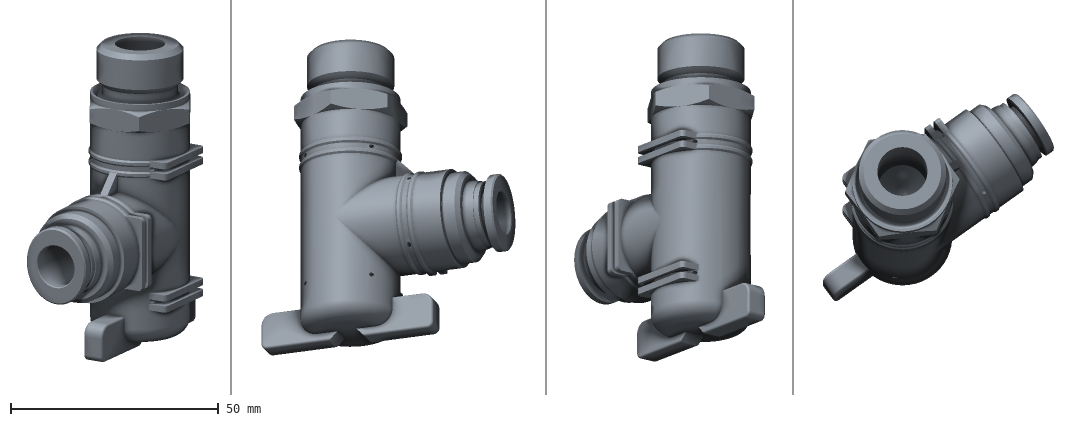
import cadquery as cq
import math


OVERALL_HEIGHT = 74.3

ARM_RADIUS = 12.0
SEAM_TURN = 90
BODY_BOTTOM = -26.1
BODY_BOTTOM_FILLET = 4.0
ARM_LENGTH = 27.3

HEX_TOP = 32.6
HEX_CHAMFER_HEIGHT = 1.0
COLLAR_TOP = 34.25
COLLAR_LIP_RADIUS = 11.4
COLLAR_RECESS = 1.1
NECK_RADIUS = 9.15
NECK_TOP = 36.2
THREAD_RADIUS = 10.51
STUD_TOP = 46.15
THREAD_TOP_CHAMFER = 1.2
STUD_BORE_RADIUS = 6.0
DRILL_POINT_ANGLE = 118.0

HOLDER_MIDDLE = 18.05
LOWER_HOLDER_MIDDLE = -15.0
RAIL_THICKNESS = 1.55
RAIL_GAP = 1.2
BAND_HEIGHT = 0.4
BAND_SLOPE = 0.45
TAB_REACH = 12.8
TAB_HALF_WIDTH = 9.1
TAB_CORNER = 1.2
TIE_HOLE_DIAMETER = 1.0
TIE_HOLE_OFFSET = ARM_RADIUS * math.sqrt(0.5)
TIE_HOLE_DEPTH = 1.5

WEB_THICKNESS = 2.0
WEB_LEG_SUM = 29.3

WING_HALF_SPAN = 22.0
WING_THICKNESS = 5.3
WING_TOP = -19.0
WING_BOTTOM = STUD_TOP - OVERALL_HEIGHT
WING_UPPER_CORNER = 3.0
WING_LOWER_CORNER = 1.5
WING_EDGE_FILLET = 0.6
WING_RELIEF = 2.45

GROOVE_RADIUS = 10.7
CARTRIDGE_START = 27.7
CARTRIDGE_RADIUS = 11.1
CARTRIDGE_END = 31.7
CARTRIDGE_CHAMFER = 1.05
NOSE_RADIUS = 8.55
NOSE_TAPER_START = 32.7
NOSE_TAPER_END = 34.3
NOSE_TAPER_RADIUS = 8.25
NOSE_TIP_RADIUS = 8.0
NOSE_END = 35.7
TUBE_STOP = 20.05

RING_START = 33.9
RING_NECK_RADIUS = 6.0
RING_BORE_RADIUS = 5.1
RING_BORE_CHAMFER = 0.2
FLANGE_START = 37.1
FLANGE_END = 39.3
FLANGE_HALF_WIDTH = 8.3
FLANGE_HALF_HEIGHT = 9.5
FLANGE_CHAMFER = 0.4


def upright_cylinder(radius, bottom, top):
    return cq.Workplane("XY").workplane(offset=bottom).circle(radius).extrude(top - bottom)


def revolved(points):
    """Turn a (radius, height) outline round the Z axis."""
    return cq.Workplane("XZ").polyline(points).close().revolve(360, (0, 0), (0, 1))


def to_branch(shape):
    """Turn a shape built along +Z so that it lies along -Y."""
    return shape.rotate((0, 0, 0), (1, 0, 0), 90)


def rail_bottoms(middle):
    return (middle - RAIL_GAP / 2 - RAIL_THICKNESS, middle + RAIL_GAP / 2)


def band(bottom):
    top = bottom + RAIL_THICKNESS
    crest = ARM_RADIUS + BAND_HEIGHT
    return revolved([(0, bottom), (ARM_RADIUS, bottom), (crest, bottom + BAND_SLOPE),
                     (crest, top - BAND_SLOPE), (ARM_RADIUS, top), (0, top)])


def tab(bottom):
    return (
        cq.Workplane("XY").workplane(offset=bottom)
        .center(TAB_REACH / 2, 0)
        .rect(TAB_REACH, 2 * TAB_HALF_WIDTH)
        .extrude(RAIL_THICKNESS)
        .edges("|Z and >X").fillet(TAB_CORNER)
    )


def tab_slot(middle):
    """Slot between two tabs; it also cuts a flat on the bulging side of the arm."""
    floor = TAB_REACH - TAB_CORNER
    return cq.Workplane("XY").box(
        TAB_REACH, 2 * TAB_HALF_WIDTH, RAIL_GAP, centered=(False, True, True)
    ).translate((floor, 0, middle))


def hexagon():
    height = HEX_TOP - ARM_LENGTH
    corner_radius = ARM_RADIUS / math.cos(math.pi / 6)
    prism = (
        cq.Workplane("XY").workplane(offset=ARM_LENGTH)
        .polygon(6, 2 * corner_radius).extrude(height)
    )
    envelope = revolved([
        (0, ARM_LENGTH), (ARM_RADIUS, ARM_LENGTH),
        (corner_radius, ARM_LENGTH + HEX_CHAMFER_HEIGHT),
        (corner_radius, HEX_TOP - HEX_CHAMFER_HEIGHT),
        (ARM_RADIUS, HEX_TOP), (0, HEX_TOP),
    ])
    return prism.intersect(envelope)


def stud():
    thread_bottom_chamfer = THREAD_RADIUS - NECK_RADIUS
    recess_floor = COLLAR_TOP - COLLAR_RECESS
    fillet_middle = COLLAR_RECESS * (1 - math.sqrt(0.5))
    profile = (
        cq.Workplane("XZ")
        .moveTo(0, HEX_TOP)
        .lineTo(ARM_RADIUS, HEX_TOP)
        .lineTo(ARM_RADIUS, COLLAR_TOP)
        .lineTo(COLLAR_LIP_RADIUS, COLLAR_TOP)
        .lineTo(NECK_RADIUS + COLLAR_RECESS, recess_floor)
        .threePointArc((NECK_RADIUS + fillet_middle, recess_floor + fillet_middle),
                       (NECK_RADIUS, COLLAR_TOP))
        .lineTo(NECK_RADIUS, NECK_TOP)
        .lineTo(THREAD_RADIUS, NECK_TOP + thread_bottom_chamfer)
        .lineTo(THREAD_RADIUS, STUD_TOP - THREAD_TOP_CHAMFER)
        .lineTo(THREAD_RADIUS - THREAD_TOP_CHAMFER, STUD_TOP)
        .lineTo(0, STUD_TOP)
        .close()
    )
    return profile.revolve(360, (0, 0), (0, 1))


def stud_bore():
    """Blind drilled bore whose straight part ends level with the underside of the hexagon."""
    point_depth = STUD_BORE_RADIUS / math.tan(math.radians(DRILL_POINT_ANGLE / 2))
    return revolved([(0, STUD_TOP), (STUD_BORE_RADIUS, STUD_TOP),
                     (STUD_BORE_RADIUS, ARM_LENGTH), (0, ARM_LENGTH - point_depth)])


def branch_end():
    return to_branch(revolved([
        (0, ARM_LENGTH), (GROOVE_RADIUS, ARM_LENGTH), (GROOVE_RADIUS, CARTRIDGE_START),
        (CARTRIDGE_RADIUS, CARTRIDGE_START),
        (CARTRIDGE_RADIUS, CARTRIDGE_END - CARTRIDGE_CHAMFER),
        (CARTRIDGE_RADIUS - CARTRIDGE_CHAMFER, CARTRIDGE_END),
        (NOSE_RADIUS, CARTRIDGE_END), (NOSE_RADIUS, NOSE_TAPER_START),
        (NOSE_TAPER_RADIUS, NOSE_TAPER_END), (NOSE_TIP_RADIUS, NOSE_TAPER_END),
        (NOSE_TIP_RADIUS, NOSE_END), (0, NOSE_END),
    ]))


def web():
    reach = WEB_LEG_SUM - ARM_RADIUS - BAND_HEIGHT
    blunt_end = WEB_LEG_SUM - reach
    return (
        cq.Workplane("YZ")
        .polyline([(0, 0), (-reach, 0), (-reach, blunt_end), (-blunt_end, reach), (0, reach)]).close()
        .extrude(WEB_THICKNESS / 2, both=True)
    )


def wings():
    height = WING_TOP - WING_BOTTOM
    plate = (
        cq.Workplane("XY")
        .box(WING_THICKNESS, 2 * WING_HALF_SPAN, height)
        .translate((0, 0, (WING_TOP + WING_BOTTOM) / 2))
        .edges("|X and >Z").fillet(WING_UPPER_CORNER)
        .edges("|X and <Z").fillet(WING_LOWER_CORNER)
        .faces("<X or >X").edges().fillet(WING_EDGE_FILLET)
    )
    relief_depth = BODY_BOTTOM - WING_BOTTOM
    relief = (
        cq.Workplane("YZ")
        .polyline([(-WING_RELIEF, BODY_BOTTOM), (WING_RELIEF, BODY_BOTTOM),
                   (WING_RELIEF + relief_depth, WING_BOTTOM),
                   (-WING_RELIEF - relief_depth, WING_BOTTOM)]).close()
        .extrude(WING_THICKNESS, both=True)
    )
    return plate.cut(relief)


def tie_hole(y, z, side, inner_end):
    """Hole along X entering from -X (side -1) or +X (side +1), down to inner_end from the YZ plane."""
    return (
        cq.Workplane("YZ").workplane(offset=side * inner_end).center(y, z)
        .circle(TIE_HOLE_DIAMETER / 2).extrude(side * (ARM_RADIUS - inner_end))
    )


def ring_bore(start, end):
    return to_branch(upright_cylinder(RING_BORE_RADIUS, start, end))


def label_arm(start):
    """Round arm up the Z axis with a pair of bands, and a pair of tabs with a slot between them."""
    arm = upright_cylinder(ARM_RADIUS, start, ARM_LENGTH)
    arm = arm.rotate((0, 0, 0), (0, 0, 1), SEAM_TURN)
    for bottom in rail_bottoms(HOLDER_MIDDLE):
        arm = arm.union(band(bottom)).union(tab(bottom))
    return arm.cut(tab_slot(HOLDER_MIDDLE))


def make_housing():
    body = label_arm(BODY_BOTTOM).faces("<Z").edges().fillet(BODY_BOTTOM_FILLET)
    for bottom in rail_bottoms(LOWER_HOLDER_MIDDLE):
        body = body.union(tab(bottom))
    body = body.cut(tab_slot(LOWER_HOLDER_MIDDLE)).union(wings())
    body = body.union(hexagon()).union(stud())

    branch = to_branch(label_arm(0)).union(branch_end())
    housing = body.union(branch).union(web())

    for side in (-1, 1):
        for offset in (-TIE_HOLE_OFFSET, TIE_HOLE_OFFSET):
            housing = housing.cut(tie_hole(-HOLDER_MIDDLE, offset, side, 0))
            for middle in (HOLDER_MIDDLE, LOWER_HOLDER_MIDDLE):
                housing = housing.cut(tie_hole(offset, middle, side, TIE_HOLE_OFFSET - TIE_HOLE_DEPTH))

    ring_seat = to_branch(upright_cylinder(RING_NECK_RADIUS, RING_START, NOSE_END))
    return housing.cut(stud_bore()).cut(ring_bore(TUBE_STOP, NOSE_END)).cut(ring_seat)


def make_release_ring():
    neck = to_branch(upright_cylinder(RING_NECK_RADIUS, RING_START, FLANGE_START))
    flange = (
        cq.Workplane("XZ").workplane(offset=FLANGE_START)
        .ellipse(FLANGE_HALF_WIDTH, FLANGE_HALF_HEIGHT)
        .extrude(FLANGE_END - FLANGE_START)
        .faces("<Y").edges().chamfer(FLANGE_CHAMFER)
    )
    ring = neck.union(flange).cut(ring_bore(RING_START, FLANGE_END))
    mouth = cq.selectors.RadiusNthSelector(0)
    return ring.faces("<Y").edges("%CIRCLE").edges(mouth).chamfer(RING_BORE_CHAMFER)


housing = make_housing()
release_ring = make_release_ring()
result = cq.Compound.makeCompound([housing.solids().val(), release_ring.solids().val()])